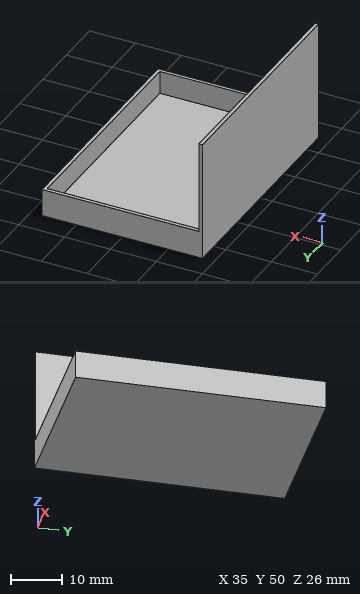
import cadquery as cq

length_x = 35.0
width_y = 50.0
back_height = 26.0

tray_height = 6.0
wall = 0.8
floor = 1.0


def corner_box(size_x, size_y, size_z):
    """Box with its minimum corner at the origin."""
    return cq.Workplane("XY").box(size_x, size_y, size_z, centered=False)


def make_tray():
    """Open-topped rectangular tray with equal walls on all four sides."""
    body = corner_box(length_x, width_y, tray_height)
    pocket = corner_box(length_x - 2 * wall, width_y - 2 * wall, tray_height - floor)
    return body.cut(pocket.translate((wall, wall, floor)))


def make_back_panel():
    """Tall panel that extends the tray's -X wall upward over its full width."""
    return corner_box(wall, width_y, back_height)


result = make_tray().union(make_back_panel())